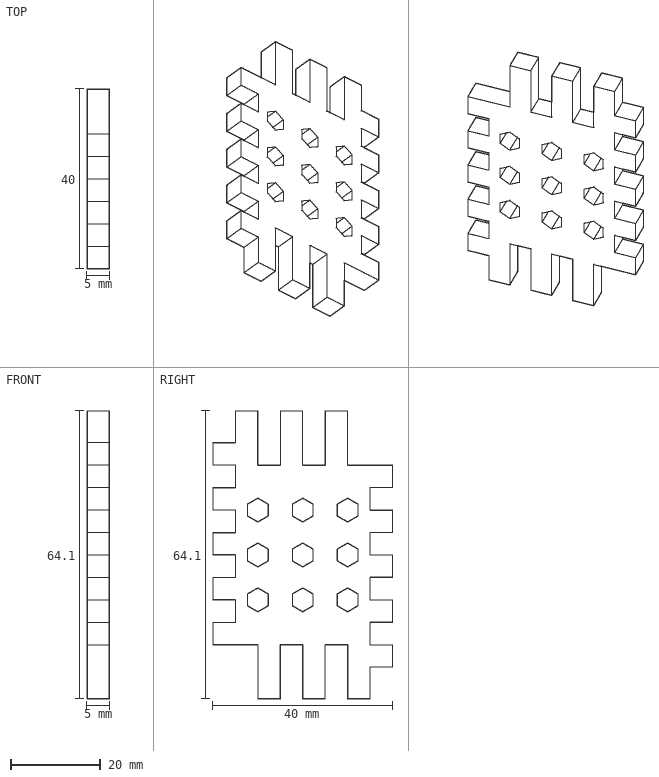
import cadquery as cq

thickness = 5.0
pitch = 5.0
prong_length = 12.07
tab_length = 5.0
core_half_width = 3 * pitch
core_half_height = 4 * pitch
tab_count = 5
prong_count = 3
hex_across_corners = 5.25
hex_rows = 3
hex_columns = 3

finger_spacing = 2 * pitch
hex_spacing = 2 * pitch


def block(y_min, z_min, width, height):
    """Full-thickness block with its lower corner at (y_min, z_min)."""
    shape = cq.Workplane("XY").box(thickness, width, height, centered=(True, False, False))
    return shape.translate((0, y_min, z_min))


def half_turn(body):
    """Copy of the body turned 180 degrees about the X axis, the symmetry axis of the outline."""
    return body.rotate((0, 0, 0), (1, 0, 0), 180)


def side_tabs():
    """Tabs on the +Y side, the first one flush with the upper edge of the core."""
    top_tab_z = core_half_height - pitch
    return [
        block(core_half_width, top_tab_z - i * finger_spacing, tab_length, pitch)
        for i in range(tab_count)
    ]


def end_prongs():
    """Long prongs on the +Z end, the first one flush with the -Y edge of the core."""
    return [
        block(-core_half_width + i * finger_spacing, core_half_height, pitch, prong_length)
        for i in range(prong_count)
    ]


def make_plate():
    """Rectangular core with tabs and prongs around it."""
    plate = block(-core_half_width, -core_half_height, 2 * core_half_width, 2 * core_half_height)
    for finger in side_tabs() + end_prongs():
        plate = plate.union(finger).union(half_turn(finger))
    return plate.clean()


def hex_holes():
    """Centred grid of hexagonal through-holes with corners pointing along Z."""
    corners_along_z = cq.Plane(origin=(0, 0, 0), xDir=(0, 0, 1), normal=(1, 0, 0))
    return (
        cq.Workplane(corners_along_z)
        .rarray(hex_spacing, hex_spacing, hex_rows, hex_columns)
        .polygon(6, hex_across_corners)
        .extrude(thickness / 2, both=True)
    )


result = make_plate().cut(hex_holes())